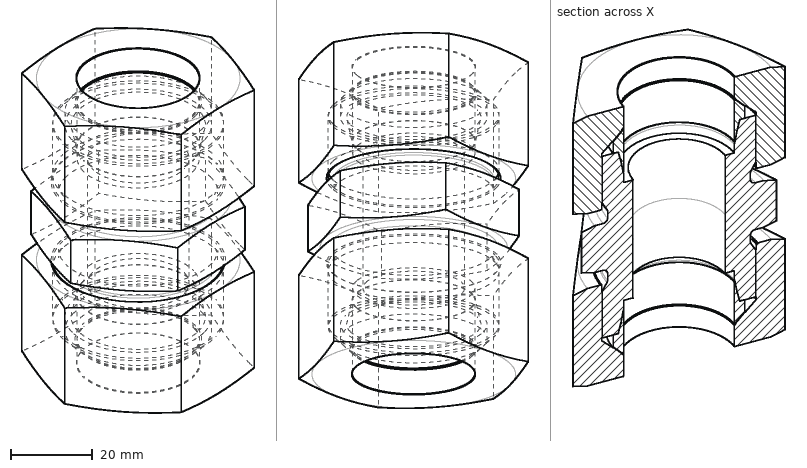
import cadquery as cq
import math


total_length = 80.0
body_hex_height = 14.0
nut_gap = 4.0
half_length = total_length / 2
body_hex_top = body_hex_height / 2
nut_bottom = body_hex_top + nut_gap

hex_sides = 6
nut_across_flats = 50.0
body_across_flats = 46.0
hex_chamfer_angle = 15.0

flow_radius = 25.0 / 2
tube_radius = 30.0 / 2
tube_stop_z = 17.5

thread_radius = 42.0 / 2
undercut_radius = 39.0 / 2
undercut_fillet = 1.2
runout_angle = 30.0
runout_start_z = nut_bottom - 0.8

seat_half_angle = 12.0
seat_mouth_radius = 33.0 / 2
seat_bottom_z = 20.0
seat_slope = math.tan(math.radians(seat_half_angle))
seat_mouth_z = seat_bottom_z + (seat_mouth_radius - tube_radius) / seat_slope

ring_radius = 36.0 / 2
ring_tip_z = seat_bottom_z + 0.7
seat_gap = 0.5
cone_start_z = half_length - 6.4
ring_back_z = cone_start_z - seat_gap

nut_hole_radius = 30.1 / 2
nut_hole_chamfer = 0.2
nut_mouth_radius = 42.8 / 2
nut_mouth_slope = 30.0


def revolve_profile(outline):
    """Close an outline of (radius, z) points and revolve it about Z."""
    return outline.close().revolve(360, (0, 0, 0), (0, 1, 0))


def hex_prism(across_flats, bottom, top):
    """Hexagon along Z whose corners are chamfered at both ends by a cone touching the flats."""
    height = top - bottom
    flat_radius = across_flats / 2
    corner_radius = flat_radius / math.cos(math.pi / hex_sides)
    drop = (corner_radius - flat_radius) * math.tan(math.radians(hex_chamfer_angle))
    prism = (
        cq.Workplane("XY").workplane(offset=bottom)
        .transformed(rotate=(0, 0, 180 / hex_sides))
        .polygon(hex_sides, 2 * corner_radius)
        .extrude(height)
    )
    envelope = revolve_profile(
        cq.Workplane("XZ")
        .moveTo(0, bottom)
        .lineTo(flat_radius, bottom)
        .lineTo(corner_radius, bottom + drop)
        .lineTo(corner_radius, top - drop)
        .lineTo(flat_radius, top)
        .lineTo(0, top)
    )
    return prism.intersect(envelope)


def make_spigot():
    """Upper spigot: filleted root, undercut, sloping run-out and thread cylinder."""
    def arc_point(degrees):
        angle = math.radians(degrees)
        radius = undercut_radius + undercut_fillet * (1 - math.cos(angle))
        return radius, runout_start_z + undercut_fillet * math.sin(angle)

    slope_radius, slope_z = arc_point(runout_angle)
    thread_start_z = slope_z + (thread_radius - slope_radius) / math.tan(math.radians(runout_angle))
    root_shift = undercut_fillet * (1 - math.sqrt(0.5))
    return revolve_profile(
        cq.Workplane("XZ")
        .moveTo(0, 0)
        .lineTo(undercut_radius + undercut_fillet, 0)
        .lineTo(undercut_radius + undercut_fillet, body_hex_top)
        .threePointArc(
            (undercut_radius + root_shift, body_hex_top + root_shift),
            (undercut_radius, body_hex_top + undercut_fillet),
        )
        .lineTo(undercut_radius, runout_start_z)
        .threePointArc(arc_point(runout_angle / 2), (slope_radius, slope_z))
        .lineTo(thread_radius, thread_start_z)
        .lineTo(thread_radius, seat_mouth_z)
        .lineTo(0, seat_mouth_z)
    )


def make_passage():
    """Upper half of the passage: flow bore, tube socket and ring seat."""
    return revolve_profile(
        cq.Workplane("XZ")
        .moveTo(0, 0)
        .lineTo(flow_radius, 0)
        .lineTo(flow_radius, tube_stop_z)
        .lineTo(tube_radius, tube_stop_z)
        .lineTo(tube_radius, seat_bottom_z)
        .lineTo(seat_mouth_radius, seat_mouth_z)
        .lineTo(0, seat_mouth_z)
    )


def make_body():
    """Double-ended body with a central hexagon."""
    body = hex_prism(body_across_flats, -body_hex_top, body_hex_top)
    spigot = make_spigot()
    passage = make_passage()
    body = body.union(spigot).union(spigot.mirror("XY"))
    return body.cut(passage).cut(passage.mirror("XY"))


def clamp_cone_radius(z):
    """Radius at height z of the 45 degree cone that presses on the ring."""
    return nut_hole_radius + cone_start_z - z


def clamp_cone_z(radius):
    """Height at which the 45 degree cone reaches the given radius."""
    return cone_start_z - (radius - nut_hole_radius)


def make_ring():
    """Upper cutting ring, seated on the body cone and shouldered on the body end face."""
    tip_radius = tube_radius + (ring_tip_z - seat_bottom_z) * seat_slope
    return revolve_profile(
        cq.Workplane("XZ")
        .moveTo(tube_radius, ring_tip_z)
        .lineTo(tip_radius, ring_tip_z)
        .lineTo(seat_mouth_radius, seat_mouth_z)
        .lineTo(ring_radius, seat_mouth_z)
        .lineTo(ring_radius, clamp_cone_z(ring_radius))
        .lineTo(clamp_cone_radius(ring_back_z), ring_back_z)
        .lineTo(tube_radius, ring_back_z)
    )


def make_nut():
    """Upper nut: chamfered hexagon with a countersunk thread bore, a 45 degree cone and a tube hole."""
    countersink_depth = (nut_mouth_radius - thread_radius) * math.tan(math.radians(nut_mouth_slope))
    bore = revolve_profile(
        cq.Workplane("XZ")
        .moveTo(0, nut_bottom)
        .lineTo(nut_mouth_radius, nut_bottom)
        .lineTo(thread_radius, nut_bottom + countersink_depth)
        .lineTo(thread_radius, clamp_cone_z(thread_radius))
        .lineTo(nut_hole_radius, cone_start_z)
        .lineTo(nut_hole_radius, half_length - nut_hole_chamfer)
        .lineTo(nut_hole_radius + nut_hole_chamfer, half_length)
        .lineTo(0, half_length)
    )
    return hex_prism(nut_across_flats, nut_bottom, half_length).cut(bore)


solids = [make_body().val()]
for upper in (make_ring(), make_nut()):
    for piece in (upper, upper.mirror("XY")):
        solids.append(piece.val())

result = cq.Compound.makeCompound(solids)